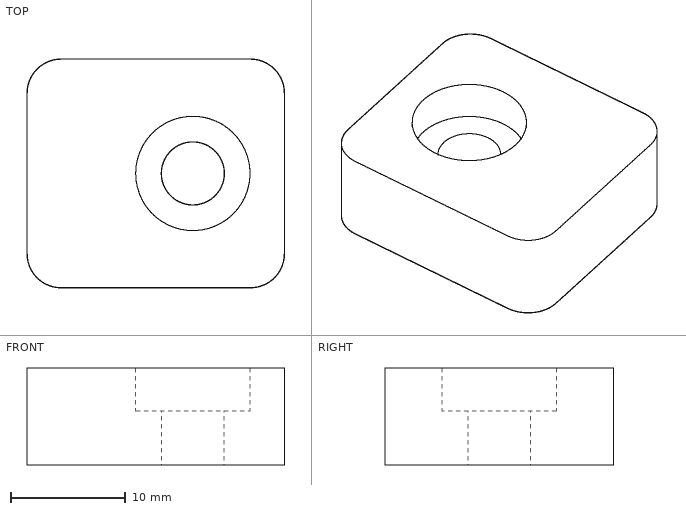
import cadquery as cq

length = 22.5
width = 20.0
height = 8.5
corner_radius = 3.0

hole_offset = 3.25
hole_diameter = 5.5
counterbore_diameter = 10.0
counterbore_depth = 3.75

block = (
    cq.Workplane("XY")
    .box(length, width, height, centered=(True, True, False))
    .edges("|Z")
    .fillet(corner_radius)
)

result = (
    block.faces(">Z")
    .workplane(origin=(hole_offset, 0, height))
    .cboreHole(hole_diameter, counterbore_diameter, counterbore_depth)
)